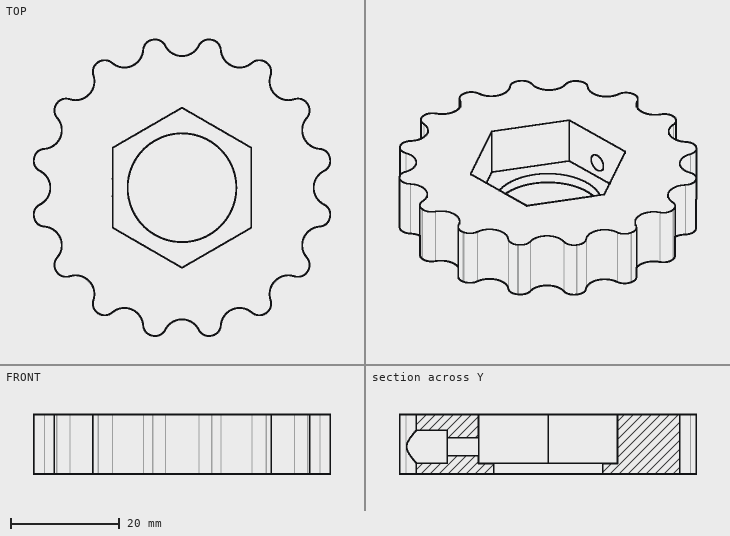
import cadquery as cq
import math

width = 54.65
thickness = 11.0
tooth_count = 16
root_radius = 24.25
tip_round_radius = 2.1
tip_land_angle = math.radians(0.35)
bore_diameter = 20.0
hex_across_flats = 25.5
hex_depth = 9.0
screw_height = 5.05
screw_diameter = 3.2
head_diameter = 6.0
head_seat_radius = 18.6

pitch_angle = 2 * math.pi / tooth_count
half_pitch = pitch_angle / 2
tip_round_angle = half_pitch - tip_land_angle / 2
tip_center_x = width / 2 - tip_round_radius
tip_center_y = tip_center_x * math.tan(tip_round_angle)
tip_center_radius = math.hypot(tip_center_x, tip_center_y)
tip_radius = tip_center_radius + tip_round_radius

tip_offset = tip_center_x - root_radius
scallop_radius = (tip_offset**2 + tip_center_y**2 - tip_round_radius**2) / (
    2 * (tip_offset + tip_round_radius)
)
scallop_center_radius = root_radius + scallop_radius
tangent_share = scallop_radius / (scallop_radius + tip_round_radius)
tangent_x = scallop_center_radius + tangent_share * (tip_center_x - scallop_center_radius)
tangent_y = tangent_share * tip_center_y
tangent_radius = math.hypot(tangent_x, tangent_y)
tangent_angle = math.atan2(tangent_y, tangent_x)

scallop_side = math.atan2(tangent_y - tip_center_y, tangent_x - tip_center_x)
round_mid_direction = (scallop_side + tip_round_angle) / 2
round_mid_x = tip_center_x + tip_round_radius * math.cos(round_mid_direction)
round_mid_y = tip_center_y + tip_round_radius * math.sin(round_mid_direction)
round_mid_radius = math.hypot(round_mid_x, round_mid_y)
round_mid_angle = math.atan2(round_mid_y, round_mid_x)


def polar(radius, angle):
    return (radius * math.cos(angle), radius * math.sin(angle))


def make_wheel():
    outline = cq.Workplane("XY").moveTo(*polar(tangent_radius, -tangent_angle))
    for index in range(tooth_count):
        scallop_angle = index * pitch_angle
        tooth_angle = scallop_angle + half_pitch
        next_scallop_angle = scallop_angle + pitch_angle
        scallop_end = polar(tangent_radius, scallop_angle + tangent_angle)
        land_start = polar(tip_radius, tooth_angle - tip_land_angle / 2)
        land_end = polar(tip_radius, tooth_angle + tip_land_angle / 2)
        tooth_end = polar(tangent_radius, next_scallop_angle - tangent_angle)
        first_round_mid = polar(round_mid_radius, scallop_angle + round_mid_angle)
        second_round_mid = polar(round_mid_radius, next_scallop_angle - round_mid_angle)
        outline = (
            outline.threePointArc(polar(root_radius, scallop_angle), scallop_end)
            .threePointArc(first_round_mid, land_start)
            .threePointArc(polar(tip_radius, tooth_angle), land_end)
            .threePointArc(second_round_mid, tooth_end)
        )
    return outline.close().extrude(thickness)


def make_hex_pocket():
    across_corners = hex_across_flats / math.cos(math.pi / 6)
    return (
        cq.Workplane("XY")
        .workplane(offset=thickness - hex_depth)
        .transformed(rotate=(0, 0, 90))
        .polygon(6, across_corners)
        .extrude(hex_depth)
    )


def make_bore():
    return cq.Workplane("XY").circle(bore_diameter / 2).extrude(thickness)


def radial_hole(diameter, inner_x, outer_x):
    """Cylinder along -X from inner_x out to outer_x, both measured from the wheel axis."""
    return (
        cq.Workplane("YZ", origin=(-outer_x, 0, screw_height))
        .circle(diameter / 2)
        .extrude(outer_x - inner_x)
    )


screw_hole = radial_hole(screw_diameter, 0, tip_radius)
head_recess = radial_hole(head_diameter, head_seat_radius, tip_radius)

result = make_wheel().cut(make_hex_pocket()).cut(make_bore()).cut(screw_hole).cut(head_recess)